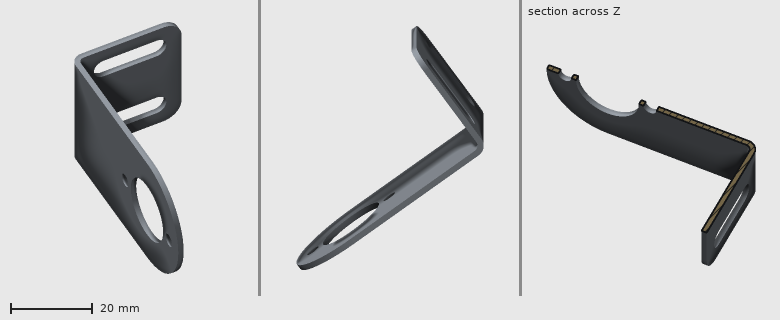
import cadquery as cq

length = 57.0
depth = 30.0
height = 33.0

thickness = 1.5
bend_outer_radius = 2 * thickness
bend_inner_radius = bend_outer_radius - thickness

end_radius = height / 2
bore_x = length - end_radius
bore_diameter = 17.0
screw_hole_diameter = 3.5
screw_hole_offset = 11.5

corner_radius = 5.0
slot_length = 20.0
slot_width = 5.5
slot_spacing = 20.0
slot_center_y = 15.8


def bent_sheet():
    """L-shaped sheet with a rounded bend, centred on Z = 0."""
    profile = (
        cq.Workplane("XY")
        .polyline([
            (0, 0),
            (length, 0),
            (length, thickness),
            (thickness, thickness),
            (thickness, depth),
            (0, depth),
        ])
        .close()
        .extrude(height / 2, both=True)
    )
    outer_edge = cq.selectors.NearestToPointSelector((0, 0, 0))
    inner_edge = cq.selectors.NearestToPointSelector((thickness, thickness, 0))
    sheet = profile.edges("|Z").edges(inner_edge).fillet(bend_inner_radius)
    return sheet.edges("|Z").edges(outer_edge).fillet(bend_outer_radius)


def plate_holes():
    """Cutters for the bore and the screw holes on either side of it."""
    plane = cq.Workplane("XZ", origin=(bore_x, thickness, 0))
    bore = plane.circle(bore_diameter / 2).extrude(thickness)
    screw_holes = (
        plane.pushPoints([(-screw_hole_offset, 0), (screw_hole_offset, 0)])
        .circle(screw_hole_diameter / 2)
        .extrude(thickness)
    )
    return bore.union(screw_holes)


def flange_slots():
    """Cutters for the two flange slots."""
    return (
        cq.Workplane("YZ")
        .pushPoints([(slot_center_y, -slot_spacing / 2), (slot_center_y, slot_spacing / 2)])
        .slot2D(slot_length, slot_width)
        .extrude(thickness)
    )


def rounded_end_outline():
    """Block that trims the large plate to its semicircular end."""
    block = cq.Workplane("XY").box(bore_x, depth, height, centered=(False, False, True))
    end = cq.Workplane("XZ", origin=(bore_x, depth, 0)).circle(end_radius).extrude(depth)
    return block.union(end)


bracket = bent_sheet().intersect(rounded_end_outline())
bracket = bracket.faces(">Y").edges("|X").fillet(corner_radius)
result = bracket.cut(plate_holes()).cut(flange_slots())